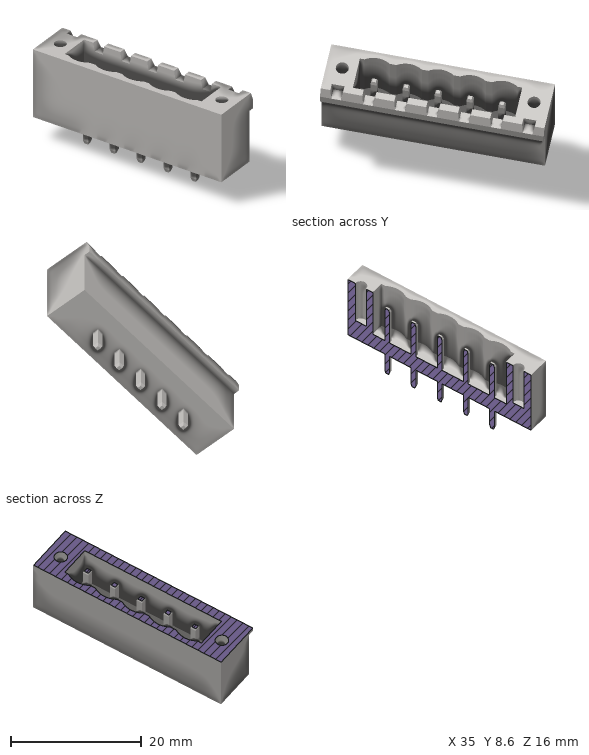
import cadquery as cq
import math


LENGTH = 35.0
BODY_DEPTH = 7.6
BODY_HEIGHT = 12.0
FRONT_Y = -BODY_DEPTH / 2
BACK_Y = BODY_DEPTH / 2

LEDGE_OVERHANG = 1.0
LEDGE_HEIGHT = 3.0
LEDGE_BEVEL_WIDTH = 0.6
LEDGE_BEVEL_HEIGHT = 1.5
LEDGE_Y = BACK_Y + LEDGE_OVERHANG

PIN_COUNT = 5
PITCH = 5.0
PIN_WIDTH = 1.0
PIN_TAIL = 4.0
PIN_TOP_BELOW_RIM = 2.0
PIN_TIP_WIDTH = 0.6
PIN_TIP_HEIGHT = 0.6

CAVITY_LENGTH = 25.4
CAVITY_FLOOR_Z = 3.0
CAVITY_BACK_Y = 3.1
CAVITY_FRONT_Y = -2.2
SCALLOP_RADIUS = 3.6
SCALLOP_DEPTH = 0.6

NOTCH_TOP_WIDTH = 2.0
NOTCH_BOTTOM_WIDTH = 1.5
NOTCH_DEPTH = LEDGE_BEVEL_HEIGHT

SCREW_HOLE_DIAMETER = 2.0
SCREW_HOLE_DEPTH = 8.0


def pitch_positions(count):
    """X positions of a row of features centred on the housing."""
    return [(i - (count - 1) / 2) * PITCH for i in range(count)]


PIN_XS = pitch_positions(PIN_COUNT)
NOTCH_XS = pitch_positions(PIN_COUNT + 2)
SCREW_XS = (NOTCH_XS[0], NOTCH_XS[-1])


def make_housing():
    """Side profile with the bevelled ledge, extruded along the full length."""
    profile = [
        (FRONT_Y, 0),
        (BACK_Y, 0),
        (BACK_Y, BODY_HEIGHT - LEDGE_HEIGHT),
        (LEDGE_Y, BODY_HEIGHT - LEDGE_HEIGHT),
        (LEDGE_Y, BODY_HEIGHT - LEDGE_BEVEL_HEIGHT),
        (LEDGE_Y - LEDGE_BEVEL_WIDTH, BODY_HEIGHT),
        (FRONT_Y, BODY_HEIGHT),
    ]
    return cq.Workplane("YZ").polyline(profile).close().extrude(LENGTH / 2, both=True)


def make_cavity():
    """Open-topped pocket whose front wall is scalloped by one arc per pin."""
    half_length = CAVITY_LENGTH / 2
    half_chord = math.sqrt(SCALLOP_RADIUS**2 - (SCALLOP_RADIUS - SCALLOP_DEPTH) ** 2)
    outline = (
        cq.Workplane("XY", origin=(0, 0, CAVITY_FLOOR_Z))
        .moveTo(-half_length, CAVITY_BACK_Y)
        .lineTo(-half_length, CAVITY_FRONT_Y)
    )
    for x in PIN_XS:
        scallop_middle = (x, CAVITY_FRONT_Y - SCALLOP_DEPTH)
        arc_end = (x + half_chord, CAVITY_FRONT_Y)
        outline = outline.lineTo(x - half_chord, CAVITY_FRONT_Y).threePointArc(scallop_middle, arc_end)
    outline = outline.lineTo(half_length, CAVITY_FRONT_Y).lineTo(half_length, CAVITY_BACK_Y)
    return outline.close().extrude(BODY_HEIGHT - CAVITY_FLOOR_Z)


def make_notch(x):
    """Tapered notch cut through the back wall from the cavity face outwards."""
    section = [
        (x - NOTCH_TOP_WIDTH / 2, BODY_HEIGHT),
        (x + NOTCH_TOP_WIDTH / 2, BODY_HEIGHT),
        (x + NOTCH_BOTTOM_WIDTH / 2, BODY_HEIGHT - NOTCH_DEPTH),
        (x - NOTCH_BOTTOM_WIDTH / 2, BODY_HEIGHT - NOTCH_DEPTH),
    ]
    back_plane = cq.Workplane("XZ", origin=(0, LEDGE_Y, 0))
    return back_plane.polyline(section).close().extrude(LEDGE_Y - CAVITY_BACK_Y)


def make_screw_hole(x):
    """Blind round hole from the top of a flange."""
    floor = cq.Workplane("XY", origin=(x, 0, BODY_HEIGHT - SCREW_HOLE_DEPTH))
    return floor.circle(SCREW_HOLE_DIAMETER / 2).extrude(SCREW_HOLE_DEPTH)


def make_pin_piece(x, start_z, height, taper=0):
    """Square length of pin rising from start_z, or dropping from it when height is negative."""
    square = cq.Workplane("XY", origin=(x, 0, start_z)).rect(PIN_WIDTH, PIN_WIDTH)
    return square.extrude(height, taper=taper)


def make_pin(x):
    """Square pin through the cavity floor, tapered at both ends."""
    shank_bottom_z = PIN_TIP_HEIGHT - PIN_TAIL
    shank_top_z = BODY_HEIGHT - PIN_TOP_BELOW_RIM - PIN_TIP_HEIGHT
    taper = math.degrees(math.atan2((PIN_WIDTH - PIN_TIP_WIDTH) / 2, PIN_TIP_HEIGHT))
    shank = make_pin_piece(x, shank_bottom_z, shank_top_z - shank_bottom_z)
    lower_tip = make_pin_piece(x, shank_bottom_z, -PIN_TIP_HEIGHT, taper)
    upper_tip = make_pin_piece(x, shank_top_z, PIN_TIP_HEIGHT, taper)
    return shank.union(lower_tip).union(upper_tip)


result = make_housing().cut(make_cavity())
for notch_x in NOTCH_XS:
    result = result.cut(make_notch(notch_x))
for screw_x in SCREW_XS:
    result = result.cut(make_screw_hole(screw_x))
for pin_x in PIN_XS:
    result = result.union(make_pin(pin_x))